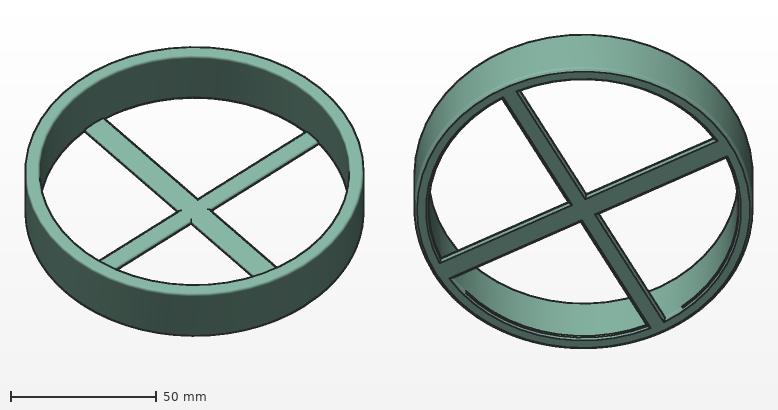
import cadquery as cq

outer_diameter = 116.5
inner_diameter = 106.5
ring_height = 22.0
edge_radius = 0.9
foot_chamfer = 1.0

x_bar_width = 9.0
y_bar_width = 7.0
bar_thickness = 2.0
bar_chamfer = 0.9

bar_length = (outer_diameter + inner_diameter) / 2


def make_ring():
    """Ring with a rounded rim and foot chamfers blended into both walls."""
    ring = (
        cq.Workplane("XY")
        .circle(outer_diameter / 2)
        .circle(inner_diameter / 2)
        .extrude(ring_height)
    )
    ring = ring.faces("<Z").edges().chamfer(foot_chamfer)
    ring = ring.edges("%CIRCLE and (not >Z) and (not <Z)").fillet(edge_radius)
    return ring.faces(">Z").edges().fillet(edge_radius)


def make_bar(long_edges, size_x, size_y):
    """Flat bar on the bottom plane, rounded along the top and chamfered along the bottom."""
    bar = cq.Workplane("XY").box(size_x, size_y, bar_thickness, centered=(True, True, False))
    bar = bar.faces("<Z").edges(long_edges).chamfer(bar_chamfer)
    return bar.faces(">Z").edges(long_edges).fillet(edge_radius)


x_bar = make_bar("|X", bar_length, x_bar_width)
y_bar = make_bar("|Y", y_bar_width, bar_length)

result = make_ring().union(x_bar).union(y_bar)